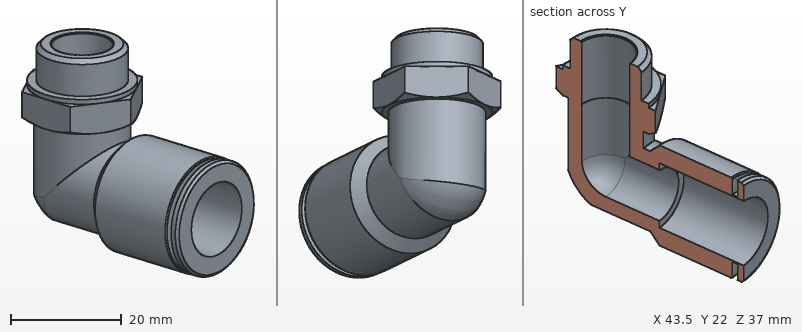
import cadquery as cq
import math


ARM_DIAMETER = 17.6
ARM_RADIUS = ARM_DIAMETER / 2
BORE_DIAMETER = 11.0
CORNER_SWEEP_RADIUS = 0.62

TOP_HEIGHT = 26.0
THREAD_LENGTH = 7.0
THREAD_DIAMETER = 16.66
THREAD_CHAMFER = 0.85
THREAD_BORE_DIAMETER = 11.11
MOUTH_CHAMFER = 0.2
COLLAR_DIAMETER = 20.0
COLLAR_HEIGHT = 0.9
HEX_SIDES = 6
HEX_ACROSS_FLATS = 20.0
HEX_HEIGHT = 5.8
HEX_CHAMFER_ANGLE = 30.0

COLLAR_TOP = TOP_HEIGHT - THREAD_LENGTH
HEX_TOP = COLLAR_TOP - COLLAR_HEIGHT
HEX_BOTTOM = HEX_TOP - HEX_HEIGHT

END_DISTANCE = 32.0
SOCKET_DIAMETER = 22.0
SOCKET_RADIUS = SOCKET_DIAMETER / 2
SOCKET_CONE_START = 10.3
SOCKET_CONE_END = SOCKET_CONE_START + SOCKET_RADIUS - ARM_RADIUS
SOCKET_END = 29.4
SOCKET_END_CHAMFER = 0.25
RING_DIAMETER = 21.8
RING_RADIUS = RING_DIAMETER / 2
RING_THICKNESS = 1.5
RING_CHAMFER = 0.5
RING_NECK_DIAMETER = 14.8
TUBE_DIAMETER = 14.0


def vertical_cylinder(diameter, bottom, top):
    return cq.Workplane("XY").workplane(offset=bottom).circle(diameter / 2).extrude(top - bottom)


def horizontal_cylinder(diameter, start, end):
    return cq.Workplane("YZ").workplane(offset=start).circle(diameter / 2).extrude(end - start)


def rounded_corner():
    """Outer corner: both arms' common volume, trimmed by a round section swept about Y."""
    common = vertical_cylinder(ARM_DIAMETER, -ARM_RADIUS, ARM_RADIUS).intersect(
        horizontal_cylinder(ARM_DIAMETER, -ARM_RADIUS, ARM_RADIUS)
    )
    sweep = (
        cq.Workplane("XY")
        .moveTo(0, -ARM_RADIUS)
        .lineTo(CORNER_SWEEP_RADIUS, -ARM_RADIUS)
        .threePointArc((CORNER_SWEEP_RADIUS + ARM_RADIUS, 0), (CORNER_SWEEP_RADIUS, ARM_RADIUS))
        .lineTo(0, ARM_RADIUS)
        .close()
        .revolve(360, (0, 0, 0), (0, 1, 0))
    )
    return common.intersect(sweep)


def elbow():
    upper_arm = vertical_cylinder(ARM_DIAMETER, 0, HEX_BOTTOM)
    side_arm = horizontal_cylinder(ARM_DIAMETER, 0, SOCKET_CONE_START)
    return upper_arm.union(side_arm).union(rounded_corner())


def hexagon():
    """Hexagon with corners along X, its lower corners turned off by a cone."""
    corner_diameter = HEX_ACROSS_FLATS / math.cos(math.pi / HEX_SIDES)
    prism = (
        cq.Workplane("XY")
        .workplane(offset=HEX_BOTTOM)
        .polygon(HEX_SIDES, corner_diameter)
        .extrude(HEX_HEIGHT)
    )
    cone_base_radius = HEX_ACROSS_FLATS / 2
    cone_top_radius = cone_base_radius + HEX_HEIGHT / math.tan(math.radians(HEX_CHAMFER_ANGLE))
    cone = cq.Workplane("XY").add(
        cq.Solid.makeCone(cone_base_radius, cone_top_radius, HEX_HEIGHT, pnt=cq.Vector(0, 0, HEX_BOTTOM))
    )
    return prism.intersect(cone)


def threaded_stub():
    collar = vertical_cylinder(COLLAR_DIAMETER, HEX_TOP, COLLAR_TOP)
    thread = vertical_cylinder(THREAD_DIAMETER, COLLAR_TOP, TOP_HEIGHT)
    return collar.union(thread.faces(">Z").chamfer(THREAD_CHAMFER))


def tube_socket():
    """Socket sleeve and release ring, turned about the X axis."""
    neck_radius = RING_NECK_DIAMETER / 2
    ring_start = END_DISTANCE - RING_THICKNESS
    return (
        cq.Workplane("XZ")
        .moveTo(SOCKET_CONE_START, 0)
        .lineTo(SOCKET_CONE_START, ARM_RADIUS)
        .lineTo(SOCKET_CONE_END, SOCKET_RADIUS)
        .lineTo(SOCKET_END - SOCKET_END_CHAMFER, SOCKET_RADIUS)
        .lineTo(SOCKET_END, SOCKET_RADIUS - SOCKET_END_CHAMFER)
        .lineTo(SOCKET_END, neck_radius)
        .lineTo(ring_start, neck_radius)
        .lineTo(ring_start, RING_RADIUS)
        .lineTo(END_DISTANCE - RING_CHAMFER, RING_RADIUS)
        .lineTo(END_DISTANCE, RING_RADIUS - RING_CHAMFER)
        .lineTo(END_DISTANCE, 0)
        .close()
        .revolve(360, (0, 0, 0), (1, 0, 0))
    )


def passage():
    """Bores of both arms, joined by a spherical corner, with the tube seat at the +X end."""
    corner = cq.Workplane("XY").sphere(BORE_DIAMETER / 2)
    upper_bore = vertical_cylinder(BORE_DIAMETER, 0, HEX_BOTTOM)
    thread_bore = vertical_cylinder(THREAD_BORE_DIAMETER, HEX_BOTTOM, TOP_HEIGHT)
    bore_radius = THREAD_BORE_DIAMETER / 2
    mouth_base = cq.Vector(0, 0, TOP_HEIGHT - MOUTH_CHAMFER)
    mouth = cq.Workplane("XY").add(
        cq.Solid.makeCone(bore_radius, bore_radius + MOUTH_CHAMFER, MOUTH_CHAMFER, pnt=mouth_base)
    )
    side_bore = horizontal_cylinder(BORE_DIAMETER, 0, SOCKET_CONE_END)
    tube_seat = horizontal_cylinder(TUBE_DIAMETER, SOCKET_CONE_END, END_DISTANCE)
    return corner.union(upper_bore).union(side_bore).union(thread_bore).union(mouth).union(tube_seat)


body = elbow().union(hexagon()).union(threaded_stub()).union(tube_socket())
result = body.cut(passage())